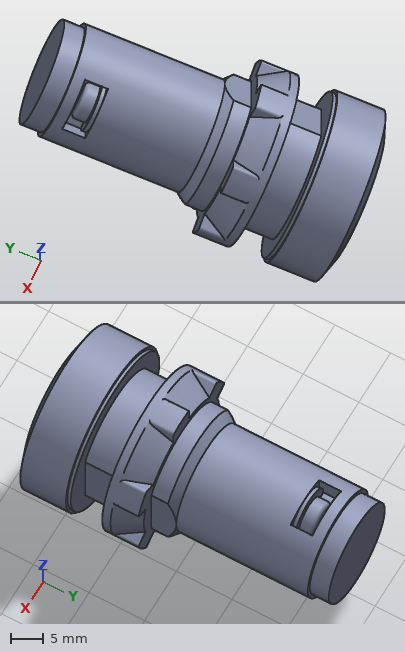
import cadquery as cq


head_radius = 14.5
face_radius = 11.0
bevel_end = 1.3
head_end = 9.5
seal_radius = 14.0
seal_end = 10.1

bushing_radius = 11.0
bushing_end = 25.0
body_radius = 9.5
cone_end = bushing_end + bushing_radius - body_radius
flat_distance = body_radius

overall_length = 53.5
collar_radius = 8.85
collar_length = 3.4
body_end = overall_length - collar_length

nut_radius = head_radius
nut_front = 16.0
nut_flange_end = 17.5
nut_end = 22.0
nut_cone_end_radius = 11.9
tooth_count = 6
tooth_width = 5.0
tooth_fillet = 0.5

window_width = 9.0
window_front = 44.2
window_rear = 48.1
disc_radius = window_width / 2
disc_end = 44.95
pin_radius = 3.15
pin_end = 47.25
pin_fillet = 0.65
pin_axis_height = body_radius - disc_radius


def cylinder(radius, start, end, height=0.0):
    """Solid cylinder along Y between two stations, its axis at Z = height."""
    plane = cq.Workplane("XZ", origin=(0, start, height))
    return plane.circle(radius).extrude(start - end)


def box(width, start, end, bottom, top):
    """Box centred on X = 0, between two Y stations and two heights."""
    block = cq.Workplane("XY").box(width, end - start, top - bottom, centered=(True, False, False))
    return block.translate((0, start, bottom))


def revolve(profile):
    """Turn a (radius, station) outline about the Y axis."""
    return cq.Workplane("XY").polyline(profile).close().revolve(360, (0, 0), (0, 1))


def make_head():
    return revolve([
        (0, 0),
        (face_radius, 0),
        (head_radius, bevel_end),
        (head_radius, head_end),
        (seal_radius, head_end),
        (seal_radius, seal_end),
        (0, seal_end),
    ])


def make_barrel():
    """Bushing, cone, body and collar, with the two flats cut along the bushing."""
    barrel = revolve([
        (0, seal_end),
        (bushing_radius, seal_end),
        (bushing_radius, bushing_end),
        (body_radius, cone_end),
        (body_radius, body_end),
        (collar_radius, body_end),
        (collar_radius, overall_length),
        (0, overall_length),
    ])
    between_flats = box(2 * flat_distance, seal_end, overall_length, -bushing_radius, bushing_radius)
    return barrel.intersect(between_flats)


def make_tooth():
    """Nut tooth pointing along +Z, its two long outer edges rounded."""
    tooth = box(tooth_width, nut_flange_end, nut_end, 0, nut_radius)
    tooth = tooth.intersect(cylinder(nut_radius, nut_flange_end, nut_end))
    return tooth.edges("|Y").edges(">Z").fillet(tooth_fillet)


def make_nut():
    """Flange with a ring of teeth, and a cone filling the gaps between them."""
    nut = cylinder(nut_radius, nut_front, nut_flange_end)
    cone = revolve([
        (0, nut_flange_end),
        (nut_radius, nut_flange_end),
        (nut_cone_end_radius, nut_end),
        (0, nut_end),
    ])
    nut = nut.union(cone)
    tooth = make_tooth()
    crown = tooth
    for index in range(1, tooth_count):
        crown = crown.union(tooth.rotate((0, 0, 0), (0, 1, 0), index * 360 / tooth_count))
    return nut.union(crown)


def make_window():
    """Cutter for the upper window, leaving the stepped pin standing in it."""
    pocket = box(window_width, window_front, window_rear, pin_axis_height, bushing_radius)
    disc = cylinder(disc_radius, window_front, disc_end, pin_axis_height)
    pin = cylinder(pin_radius, window_front, pin_end, pin_axis_height)
    pin = pin.faces(">Y").edges().fillet(pin_fillet)
    return pocket.cut(disc).cut(pin)


window = make_window()
result = make_head().union(make_barrel()).union(make_nut())
for side_angle in (0, 180):
    result = result.cut(window.rotate((0, 0, 0), (0, 1, 0), side_angle))